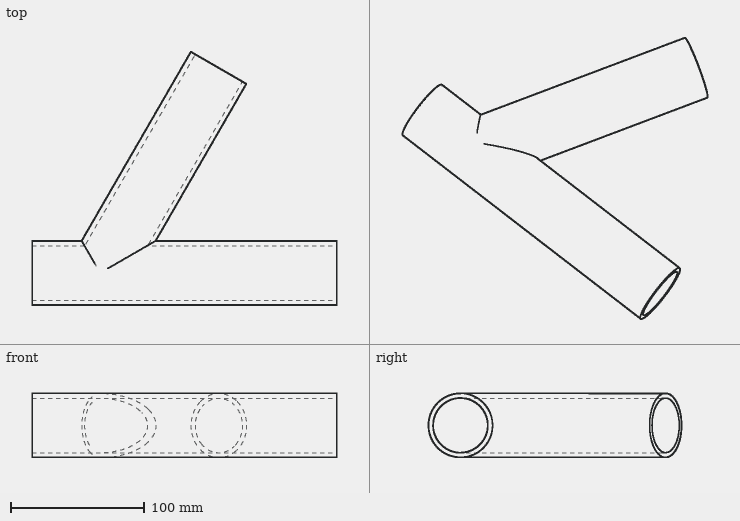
import cadquery as cq
import math

run_length = 228.5
outer_diameter = 48.2
bore_diameter = 41.0
branch_angle = 60.0
branch_start = 51.0
overall_width = 190.2

outer_radius = outer_diameter / 2
angle = math.radians(branch_angle)
corner_height = overall_width - outer_radius
branch_length = (corner_height - outer_radius * math.cos(angle)) / math.sin(angle)

run_origin = cq.Vector(0, 0, 0)
run_direction = cq.Vector(1, 0, 0)
branch_origin = cq.Vector(branch_start, 0, 0)
branch_direction = cq.Vector(math.cos(angle), math.sin(angle), 0)


def wye(diameter):
    """Solid run and branch cylinders of one diameter, joined where their axes meet."""
    radius = diameter / 2
    run = cq.Solid.makeCylinder(radius, run_length, run_origin, run_direction)
    branch = cq.Solid.makeCylinder(radius, branch_length, branch_origin, branch_direction)
    return cq.Workplane(obj=run).union(cq.Workplane(obj=branch))


result = wye(outer_diameter).cut(wye(bore_diameter))